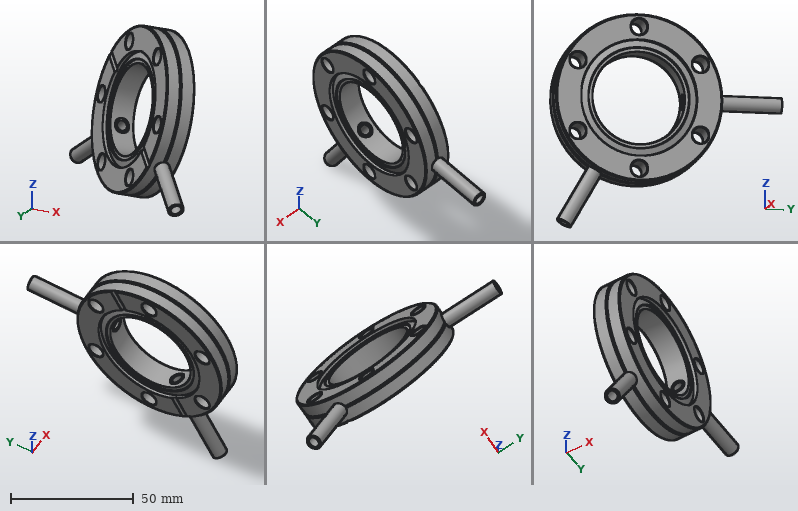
import cadquery as cq

flange_diameter = 69.1
flange_thickness = 12.7
bore_diameter = 38.4
rim_chamfer = 0.5

recess_diameter = 48.2
recess_depth = 1.8
knife_diameter = 42.0
knife_depth = 0.7
knife_height = 0.5
land_diameter = 41.6

rim_groove_width = 0.8
rim_groove_depth = 0.3

bolt_hole_count = 6
bolt_hole_diameter = 6.7
bolt_hole_chamfer = 0.24
bolt_circle_diameter = 58.7
first_bolt_angle = 90.0
full_turn = 360.0

leak_groove_width = 2.6
leak_groove_depth = 0.6
leak_groove_angles = (60.0, -120.0)

overall_length = 94.55
tube_outer_diameter = 6.3
tube_inner_diameter = 4.5
tube_end_radius = overall_length - flange_diameter / 2
tube_angles = (0.0, -120.0)

flange_radius = flange_diameter / 2
recess_radius = recess_diameter / 2
knife_radius = knife_diameter / 2
land_radius = land_diameter / 2
half_thickness = flange_thickness / 2


def radial_cylinder(diameter, start, end, angle, x=0.0):
    """Cylinder running outwards from the X axis, at an angle from +Y towards +Z."""
    cylinder = cq.Workplane("ZX", origin=(x, start, 0)).circle(diameter / 2).extrude(end - start)
    return cylinder.rotate((0, 0, 0), (1, 0, 0), angle)


def axial_cylinder(diameter):
    """Cylinder along X through the whole flange."""
    start = cq.Workplane("YZ", origin=(-half_thickness, 0, 0))
    return start.circle(diameter / 2).extrude(flange_thickness)


def seal_recess():
    """Ring-shaped cutter for the -X face: knife edge, sloping floor and inner land."""
    face_x = -half_thickness
    land_x = face_x + knife_depth + knife_height
    profile = (
        cq.Workplane("XY")
        .moveTo(face_x, 0)
        .lineTo(face_x, recess_radius)
        .lineTo(face_x + recess_depth, recess_radius)
        .lineTo(face_x + knife_depth, knife_radius)
        .lineTo(land_x, land_radius)
        .lineTo(land_x, 0)
        .close()
    )
    return profile.revolve(full_turn, (0, 0, 0), (1, 0, 0))


def rim_groove():
    """Ring-shaped cutter for the groove around the rim."""
    start = cq.Workplane("YZ", origin=(-rim_groove_width / 2, 0, 0))
    ring = start.circle(flange_radius).circle(flange_radius - rim_groove_depth)
    return ring.extrude(rim_groove_width)


def leak_groove(angle):
    """Cutter for one leak-check groove in the -X face, from the recess to the rim."""
    half_width = leak_groove_width / 2
    radius = (half_width**2 + leak_groove_depth**2) / (2 * leak_groove_depth)
    axis_x = -half_thickness + leak_groove_depth - radius
    middle_radius = (knife_radius + recess_radius) / 2
    return radial_cylinder(2 * radius, middle_radius, flange_diameter, angle, axis_x)


def make_flange():
    body = axial_cylinder(flange_diameter).faces("<X or >X").edges().chamfer(rim_chamfer)
    body = body.cut(axial_cylinder(bore_diameter)).cut(rim_groove())

    bolt_holes = (
        cq.Workplane("YZ", origin=(-half_thickness, 0, 0))
        .polarArray(bolt_circle_diameter / 2, first_bolt_angle, full_turn, bolt_hole_count)
        .circle(bolt_hole_diameter / 2)
        .extrude(flange_thickness)
    )
    body = body.cut(bolt_holes)
    bolt_hole_edges = cq.selectors.RadiusNthSelector(0)
    body = body.faces("<X or >X").edges(bolt_hole_edges).chamfer(bolt_hole_chamfer)

    body = body.cut(seal_recess()).cut(seal_recess().mirror("YZ"))
    for angle in leak_groove_angles:
        body = body.cut(leak_groove(angle))

    for angle in tube_angles:
        body = body.cut(radial_cylinder(tube_outer_diameter, 0, flange_diameter, angle))
    return body


def make_tube(angle):
    """Open tube, its inner end trimmed flush with the flange bore."""
    tube = radial_cylinder(tube_outer_diameter, 0, tube_end_radius, angle)
    tube = tube.cut(radial_cylinder(tube_inner_diameter, 0, tube_end_radius, angle))
    return tube.cut(axial_cylinder(bore_diameter))


flange = make_flange()
tubes = [make_tube(angle) for angle in tube_angles]

result = cq.Compound.makeCompound([flange.val()] + [tube.val() for tube in tubes])